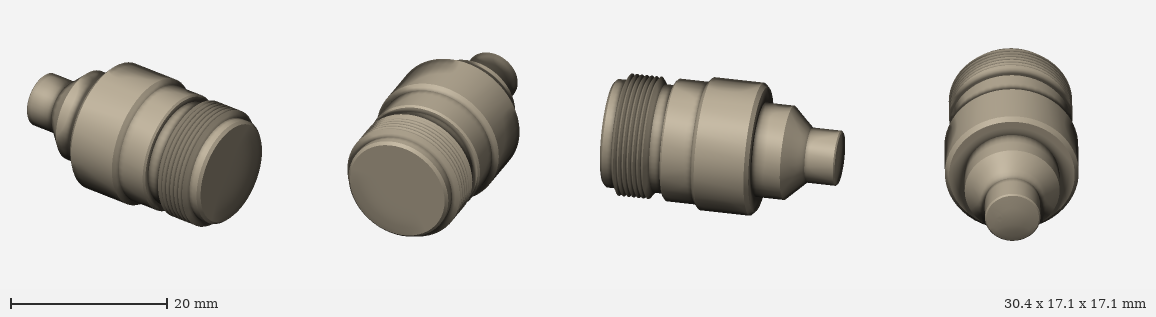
import cadquery as cq

dome_depth = 0.4
nose_start = 0.58
nose_end = 4.32
neck_start = 7.0
body_start = 10.7
body_end = 17.72
shoulder_start = 18.33
shoulder_end = 22.37
thread_start = 23.9
first_crest = 24.55
thread_end = 28.88
length = 30.4

dome_radius = 3.37
nose_radius = 3.55
neck_radius = 6.08
body_radius = 8.57
shoulder_radius = 7.9
barrel_radius = 7.0
crest_radius = shoulder_radius
root_radius = 7.42

body_chamfer = 0.52
shoulder_chamfer = 0.25
barrel_chamfer = 0.35

crest_count = 7
pitch = 0.65


def dome_midpoint():
    """Point halfway up the spherical nose dome, whose apex is at the origin."""
    sphere_radius = (dome_radius**2 + dome_depth**2) / (2 * dome_depth)
    mid_radius = dome_radius / 2
    mid_depth = sphere_radius - (sphere_radius**2 - mid_radius**2) ** 0.5
    return mid_depth, mid_radius


def thread_points():
    """Alternating crests and roots of the thread rings."""
    points = []
    for i in range(crest_count):
        crest = first_crest + i * pitch
        points.append((crest, crest_radius))
        if i < crest_count - 1:
            points.append((crest + pitch / 2, root_radius))
    return points


outline = [
    (nose_start, nose_radius),
    (nose_end, nose_radius),
    (neck_start, neck_radius),
    (body_start, neck_radius),
    (body_start, body_radius - body_chamfer),
    (body_start + body_chamfer, body_radius),
    (body_end, body_radius),
    (shoulder_start, shoulder_radius),
    (shoulder_end - shoulder_chamfer, shoulder_radius),
    (shoulder_end, shoulder_radius - shoulder_chamfer),
    (shoulder_end, barrel_radius),
    (thread_start, barrel_radius),
    *thread_points(),
    (thread_end, barrel_radius),
    (length - barrel_chamfer, barrel_radius),
    (length, barrel_radius - barrel_chamfer),
    (length, 0),
]

profile = cq.Workplane("XY").threePointArc(dome_midpoint(), (dome_depth, dome_radius))
for point in outline:
    profile = profile.lineTo(*point)

result = profile.close().revolve(360, (0, 0, 0), (1, 0, 0))